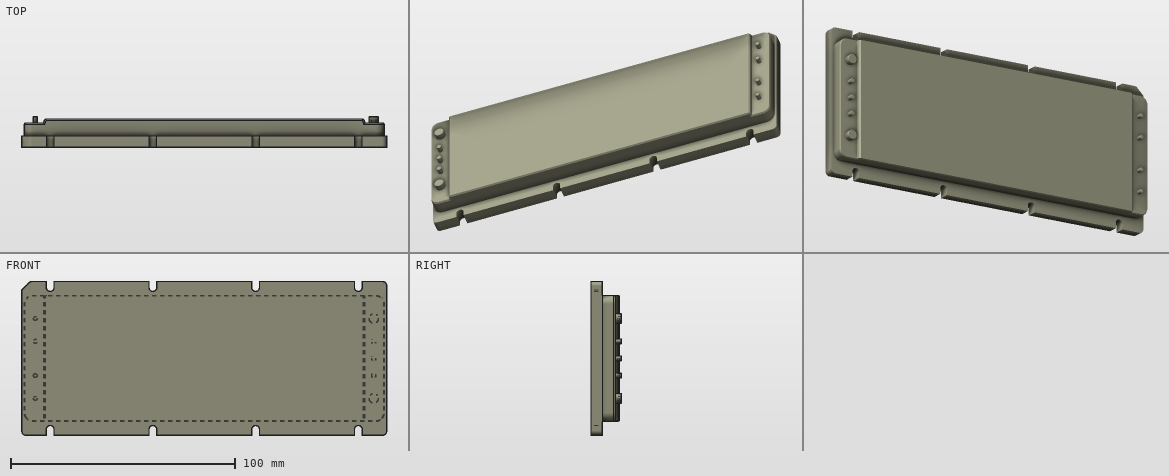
import cadquery as cq

plate_length = 162.56
plate_height = 68.58
plate_thickness = 5.08
corner_radius = 2.032
key_chamfer = 3.81

notch_pitch = 45.72
notch_count = 4
notch_width = 3.4
notch_depth = 4.4

housing_margin = 1.1
housing_length = plate_length - 2 * housing_margin
housing_height = 56.2
housing_corner_radius = 3.81
step_y = 10.922
crown_y = 12.7
shoulder_bevel = 0.6
wall_lean = 0.4
crown_length = 141.2
bevel_depth = 0.762
bevel_inset = 0.381

pin_tip_y = 13.716
signal_pin_x = -75.184
power_pin_x = 75.438
outer_pin_z = 17.78
inner_pin_z = 7.62
signal_pin_diameter = 1.9
sense_pin_diameter = 2.2
power_pin_diameter = 4.4
pin_tip_chamfer = 0.2


def make_notch(center_x, side):
    """Round-ended notch cutter; side is +1 for the top edge and -1 for the bottom edge."""
    radius = notch_width / 2
    edge_z = side * plate_height / 2
    root_z = side * (plate_height / 2 - notch_depth)
    arc_center_z = root_z + side * radius
    return (
        cq.Workplane("XZ")
        .moveTo(center_x - radius, edge_z)
        .lineTo(center_x - radius, arc_center_z)
        .threePointArc((center_x, root_z), (center_x + radius, arc_center_z))
        .lineTo(center_x + radius, edge_z)
        .close()
        .extrude(-plate_thickness)
    )


def make_plate():
    half_length = plate_length / 2
    half_height = plate_height / 2
    plate = (
        cq.Workplane("XZ")
        .rect(plate_length, plate_height)
        .extrude(-plate_thickness)
        .edges("|Y and (>X or <Z)")
        .fillet(corner_radius)
        .edges("|Y and <X and >Z")
        .chamfer(key_chamfer)
    )
    plate = plate.edges(
        cq.selectors.NearestToPointSelector((-half_length + key_chamfer, plate_thickness / 2, half_height))
    ).fillet(corner_radius)
    for index in range(notch_count):
        center_x = (index - (notch_count - 1) / 2) * notch_pitch
        for side in (1, -1):
            plate = plate.cut(make_notch(center_x, side))
    return plate


def make_housing():
    """Housing with low end steps, a raised crown between them and a bevelled rim."""
    half_length = housing_length / 2
    half_crown = crown_length / 2
    shoulder_x = half_crown + shoulder_bevel
    shoulder_y = crown_y - shoulder_bevel
    wall_foot_x = shoulder_x + wall_lean
    housing = (
        cq.Workplane("XY", origin=(0, 0, -housing_height / 2))
        .moveTo(-half_length, plate_thickness)
        .lineTo(half_length, plate_thickness)
        .lineTo(half_length, step_y)
        .lineTo(wall_foot_x, step_y)
        .lineTo(shoulder_x, shoulder_y)
        .lineTo(half_crown, crown_y)
        .lineTo(-half_crown, crown_y)
        .lineTo(-shoulder_x, shoulder_y)
        .lineTo(-wall_foot_x, step_y)
        .lineTo(-half_length, step_y)
        .close()
        .extrude(housing_height)
        .edges("|Y")
        .fillet(housing_corner_radius)
    )
    rim = housing.edges("((not |Z) or >X or <X) and (not |Y) and (not <Y)")
    return rim.chamfer(bevel_depth, bevel_inset)


def make_pin(x, z, diameter):
    """Round pin rising from an end step, chamfered at its tip."""
    return (
        cq.Workplane("XZ", origin=(x, step_y, z))
        .circle(diameter / 2)
        .extrude(step_y - pin_tip_y)
        .faces(">Y")
        .chamfer(pin_tip_chamfer)
    )


def add_pins(part):
    for side in (1, -1):
        part = part.union(make_pin(signal_pin_x, side * outer_pin_z, signal_pin_diameter))
        part = part.union(make_pin(signal_pin_x, side * inner_pin_z, signal_pin_diameter))
        part = part.union(make_pin(power_pin_x, side * outer_pin_z, power_pin_diameter))
        part = part.union(make_pin(power_pin_x, side * inner_pin_z, sense_pin_diameter))
    return part.union(make_pin(power_pin_x, 0, sense_pin_diameter))


result = add_pins(make_plate().union(make_housing()))